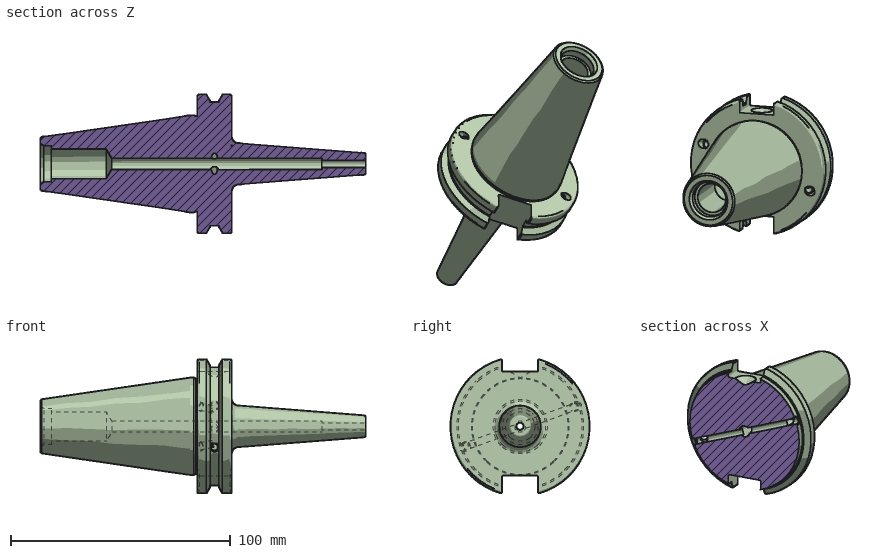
import cadquery as cq
import math

SHANK_LENGTH = 68.25
GAUGE_LENGTH = 80.0
FLANGE_START = 3.175
FLANGE_WIDTH = 15.875
GROOVE_CENTER = 11.1

GAUGE_DIAMETER = 44.45
TAPER_RATIO = 7 / 24
SHANK_CHAMFER = 0.7
GAUGE_LAND = 1.75
RELIEF_DIAMETER = 43.6
RELIEF_ANGLE = 30.0

FLANGE_DIAMETER = 63.5
FLANGE_FILLET = 1.0
GROOVE_FLOOR_DIAMETER = 56.4
GROOVE_FLOOR_WIDTH = 4.0
GROOVE_MOUTH_WIDTH = 7.3
GROOVE_WALL_ANGLE = 30.0

SLOT_WIDTH = 16.3
SLOT_FLOOR_TOP = 25.0
SLOT_FLOOR_BOTTOM = 22.5
SLOT_FILLET = 0.5
SLOT_EDGE_CHAMFER = 0.5
DIMPLE_DIAMETER = 9.53
DIMPLE_POINT_ANGLE = 118.0

NECK_DIAMETER = 19.0
NECK_END = 22.4
NECK_FILLET = 3.0
TIP_DIAMETER = 10.0
TIP_FILLET = 1.0

MOUTH_DIAMETER = 18.3
MOUTH_ANGLE = 30.0
COUNTERBORE_DIAMETER = 16.3
COUNTERBORE_DEPTH = 5.0
THREAD_BORE_DIAMETER = 13.39
THREAD_BORE_DEPTH = 30.0
BORE_POINT_ANGLE = 118.0
FEED_DIAMETER = 5.0
TOOL_BORE_DIAMETER = 3.17
TOOL_BORE_DEPTH = 20.0

OUTLET_ANGLE = 20.0
CHANNEL_DIAMETER = 3.24
GROOVE_MOUTH_DIAMETER = 4.0
GROOVE_MOUTH_DEPTH = 0.5
FACE_MOUTH_DIAMETER = 4.2
FACE_MOUTH_DEPTH = 2.0
FACE_MOUTH_RADIUS = 27.1
FACE_CHANNEL_TILT = 30.0

HALF_TURN = 180
FLANGE_END = FLANGE_START + FLANGE_WIDTH


def revolve_about_x(profile):
    return profile.close().revolve(2 * HALF_TURN, (0, 0, 0), (1, 0, 0))


def shank():
    gauge_radius = GAUGE_DIAMETER / 2
    end_radius = gauge_radius - SHANK_LENGTH * TAPER_RATIO / 2
    relief_radius = RELIEF_DIAMETER / 2
    relief_run = (gauge_radius - relief_radius) / math.tan(math.radians(RELIEF_ANGLE))
    return revolve_about_x(
        cq.Workplane("XZ")
        .moveTo(-SHANK_LENGTH, 0)
        .lineTo(-SHANK_LENGTH, end_radius - SHANK_CHAMFER)
        .lineTo(-SHANK_LENGTH + SHANK_CHAMFER, end_radius + SHANK_CHAMFER * TAPER_RATIO / 2)
        .lineTo(0, gauge_radius)
        .lineTo(GAUGE_LAND, gauge_radius)
        .lineTo(GAUGE_LAND + relief_run, relief_radius)
        .lineTo(FLANGE_START, relief_radius)
        .lineTo(FLANGE_START, 0)
    )


def flange():
    radius = FLANGE_DIAMETER / 2
    floor_radius = GROOVE_FLOOR_DIAMETER / 2
    half_floor = GROOVE_FLOOR_WIDTH / 2
    half_mouth = GROOVE_MOUTH_WIDTH / 2
    wall_radius = radius - (half_mouth - half_floor) / math.tan(math.radians(GROOVE_WALL_ANGLE))
    disc = revolve_about_x(
        cq.Workplane("XZ")
        .moveTo(FLANGE_START, 0)
        .lineTo(FLANGE_START, radius)
        .lineTo(FLANGE_END, radius)
        .lineTo(FLANGE_END, 0)
    )
    disc = disc.edges().fillet(FLANGE_FILLET)
    groove = revolve_about_x(
        cq.Workplane("XZ")
        .moveTo(GROOVE_CENTER - half_floor, floor_radius)
        .lineTo(GROOVE_CENTER - half_floor, wall_radius)
        .lineTo(GROOVE_CENTER - half_mouth, radius)
        .lineTo(GROOVE_CENTER + half_mouth, radius)
        .lineTo(GROOVE_CENTER + half_floor, wall_radius)
        .lineTo(GROOVE_CENTER + half_floor, floor_radius)
    )
    return disc.cut(groove)


def nose():
    neck_radius = NECK_DIAMETER / 2
    tip_radius = TIP_DIAMETER / 2
    cone = revolve_about_x(
        cq.Workplane("XZ")
        .moveTo(FLANGE_END, 0)
        .lineTo(FLANGE_END, neck_radius + NECK_FILLET)
        .radiusArc((FLANGE_END + NECK_FILLET, neck_radius), -NECK_FILLET)
        .lineTo(NECK_END, neck_radius)
        .lineTo(GAUGE_LENGTH, tip_radius)
        .lineTo(GAUGE_LENGTH, 0)
    )
    return cone.faces(">X").edges().fillet(TIP_FILLET)


def bore():
    mouth_radius = MOUTH_DIAMETER / 2
    counterbore_radius = COUNTERBORE_DIAMETER / 2
    mouth_run = (mouth_radius - counterbore_radius) / math.tan(math.radians(MOUTH_ANGLE))
    thread_radius = THREAD_BORE_DIAMETER / 2
    feed_radius = FEED_DIAMETER / 2
    tool_radius = TOOL_BORE_DIAMETER / 2
    shank_end = -SHANK_LENGTH
    thread_end = shank_end + THREAD_BORE_DEPTH
    point_length = (thread_radius - feed_radius) / math.tan(math.radians(BORE_POINT_ANGLE / 2))
    tool_bore_start = GAUGE_LENGTH - TOOL_BORE_DEPTH
    return revolve_about_x(
        cq.Workplane("XZ")
        .moveTo(shank_end, 0)
        .lineTo(shank_end, mouth_radius)
        .lineTo(shank_end + mouth_run, counterbore_radius)
        .lineTo(shank_end + COUNTERBORE_DEPTH, counterbore_radius)
        .lineTo(shank_end + COUNTERBORE_DEPTH, thread_radius)
        .lineTo(thread_end, thread_radius)
        .lineTo(thread_end + point_length, feed_radius)
        .lineTo(tool_bore_start, feed_radius)
        .lineTo(tool_bore_start, tool_radius)
        .lineTo(GAUGE_LENGTH, tool_radius)
        .lineTo(GAUGE_LENGTH, 0)
    )


def drive_slot(floor_height, turn):
    height = FLANGE_DIAMETER / 2
    return (
        cq.Workplane("XY")
        .box(FLANGE_WIDTH, SLOT_WIDTH, height, centered=(False, True, False))
        .edges("|X and <Z")
        .fillet(SLOT_FILLET)
        .translate((FLANGE_START, 0, floor_height))
        .rotate((0, 0, 0), (1, 0, 0), turn)
    )


def slot_edge_chamfer(side_y, side_z):
    radius = FLANGE_DIAMETER / 2
    wall = SLOT_WIDTH / 2
    edge_height = math.sqrt(radius**2 - (wall + SLOT_EDGE_CHAMFER) ** 2)
    return (
        cq.Workplane("YZ", origin=(FLANGE_START, 0, 0))
        .moveTo(side_y * wall, side_z * (edge_height - SLOT_EDGE_CHAMFER))
        .lineTo(side_y * (wall + SLOT_EDGE_CHAMFER), side_z * edge_height)
        .lineTo(side_y * (wall + SLOT_EDGE_CHAMFER), side_z * radius)
        .lineTo(side_y * wall, side_z * radius)
        .close()
        .extrude(FLANGE_WIDTH)
    )


def dimple():
    radius = DIMPLE_DIAMETER / 2
    depth = radius / math.tan(math.radians(DIMPLE_POINT_ANGLE / 2))
    cone = cq.Solid.makeCone(0, radius, depth)
    return cq.Workplane(cone).translate((GROOVE_CENTER, 0, SLOT_FLOOR_TOP - depth))


def stepped_channel(mouth_center, direction, mouth_diameter, mouth_depth, length):
    channel = cq.Solid.makeCylinder(CHANNEL_DIAMETER / 2, length, mouth_center, direction)
    step_start = mouth_center - direction * mouth_depth
    step = cq.Solid.makeCylinder(mouth_diameter / 2, 2 * mouth_depth, step_start, direction)
    return cq.Workplane(channel).union(cq.Workplane(step))


def coolant_outlet(angle):
    floor_radius = GROOVE_FLOOR_DIAMETER / 2
    radial_channel = stepped_channel(
        cq.Vector(GROOVE_CENTER, floor_radius, 0),
        cq.Vector(0, -1, 0),
        GROOVE_MOUTH_DIAMETER,
        GROOVE_MOUTH_DEPTH,
        floor_radius,
    )
    tilt = math.radians(FACE_CHANNEL_TILT)
    tilted_channel = stepped_channel(
        cq.Vector(FLANGE_START, FACE_MOUTH_RADIUS, 0),
        cq.Vector(math.cos(tilt), -math.sin(tilt), 0),
        FACE_MOUTH_DIAMETER,
        FACE_MOUTH_DEPTH,
        (GROOVE_CENTER - FLANGE_START) / math.cos(tilt),
    )
    return radial_channel.union(tilted_channel).rotate((0, 0, 0), (1, 0, 0), angle)


body = shank().union(flange()).union(nose())
body = body.cut(drive_slot(SLOT_FLOOR_TOP, 0)).cut(drive_slot(SLOT_FLOOR_BOTTOM, HALF_TURN))
for side_y in (-1, 1):
    for side_z in (-1, 1):
        body = body.cut(slot_edge_chamfer(side_y, side_z))
body = body.cut(dimple())
for outlet_angle in (OUTLET_ANGLE, OUTLET_ANGLE + HALF_TURN):
    body = body.cut(coolant_outlet(outlet_angle))
result = body.cut(bore())